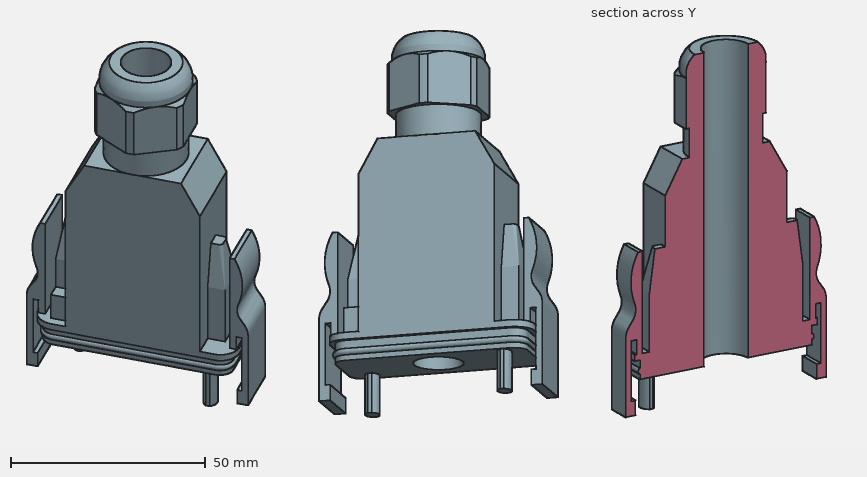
import cadquery as cq
import math

PLUG_BOTTOM = 10.5
BEAD_MIDDLE = 12.8
FLANGE_BOTTOM = 15.8
FLANGE_TOP = 17.6
BODY_SLOPE_BOTTOM = 59.5
BODY_TOP = 68.5
NUT_BOTTOM = 76.4
NUT_CORNER_TOP = 89.4
NUT_TOP = 90.4
DOME_BOTTOM = 92.3
TOTAL_HEIGHT = 96.4

BODY_LENGTH = 36.4
BODY_TOP_LENGTH = 26.2
BODY_WIDTH = 21.8
FLANGE_LENGTH = 54.6
FLANGE_CORNER_RADIUS = 5.1
PLUG_LENGTH = 51.5
PLUG_WIDTH = 19.5
PLUG_CORNER_RADIUS = 3.7

BEAD_DIAMETER = 1.8
BEAD_PROTRUSION = 0.6

NECK_DIAMETER = 22.0
NUT_FLATS = 24.0
NUT_CORNER_DIAMETER = 26.5
DOME_TOP_DIAMETER = 18.9
DOME_ARC_RADIUS = 6.3
BORE_DIAMETER = 13.0

GUIDE_REACH = 22.9
GUIDE_WIDTH = 9.1
GUIDE_TAPER_BOTTOM = 33.5
GUIDE_TOP = 45.5
GUIDE_TOP_REACH = 21.3
GUIDE_TOP_WIDTH = 4.0
GUIDE_TOP_CORNER_RADIUS = 1.1
GUIDE_EDGE_RADIUS = 0.02
BLOCK_SIDE = 8.4
BLOCK_TOP = 24.9

CLIP_WIDTH = 14.1
CLIP_OUTER = 30.0
CLIP_INNER = 25.0
CLIP_ARM_INNER = 28.2
CLIP_LEG_OUTER = 26.8
HOOK_INNER = 27.0
CLIP_BOTTOM = 1.0
HOOK_TOP = 5.1
CLIP_SLOT_TOP = 21.5

GRIP_TOP_OUTER = 26.3
GRIP_BULGE = (28.4, 38.2)
GRIP_BULGE_END = (27.4, 31.7)
GRIP_NECK = (27.1, 29.1)
GRIP_NECK_END = (28.2, 26.7)
SHOULDER_START = (28.8, 25.8)
SHOULDER_MIDDLE = (29.7, 24.3)
SHOULDER_END_HEIGHT = 22.6

PIN_X = 19.8
PIN_Y = 6.7
PIN_WIDTH = 3.8
PIN_DEPTH = 4.8
PIN_SIDE_RADIUS = 2.8


def rounded_slab(length, width, radius, bottom, top):
    slab = cq.Workplane("XY").workplane(offset=bottom).rect(length, width).extrude(top - bottom)
    return slab.edges("|Z").fillet(radius)


def make_body():
    half, half_top = BODY_LENGTH / 2, BODY_TOP_LENGTH / 2
    outline = [
        (-half, FLANGE_BOTTOM),
        (half, FLANGE_BOTTOM),
        (half, BODY_SLOPE_BOTTOM),
        (half_top, BODY_TOP),
        (-half_top, BODY_TOP),
        (-half, BODY_SLOPE_BOTTOM),
    ]
    hood = cq.Workplane("XZ").polyline(outline).close().extrude(BODY_WIDTH / 2, both=True)
    flange = rounded_slab(FLANGE_LENGTH, BODY_WIDTH, FLANGE_CORNER_RADIUS, FLANGE_BOTTOM, FLANGE_TOP)
    plug = rounded_slab(PLUG_LENGTH, PLUG_WIDTH, PLUG_CORNER_RADIUS, PLUG_BOTTOM, FLANGE_BOTTOM)
    return hood.union(flange).union(plug)


def make_bead():
    """Round cord that runs around the plug, partly sunk into its wall."""
    inset = BEAD_DIAMETER / 2 - BEAD_PROTRUSION
    x = PLUG_LENGTH / 2 - inset
    y = PLUG_WIDTH / 2 - inset
    radius = PLUG_CORNER_RADIUS - inset
    diagonal = radius * (1 - math.sqrt(0.5))
    path = (
        cq.Workplane("XY", origin=(0, 0, BEAD_MIDDLE))
        .moveTo(0, -y)
        .lineTo(x - radius, -y)
        .threePointArc((x - diagonal, -y + diagonal), (x, -y + radius))
        .lineTo(x, y - radius)
        .threePointArc((x - diagonal, y - diagonal), (x - radius, y))
        .lineTo(-x + radius, y)
        .threePointArc((-x + diagonal, y - diagonal), (-x, y - radius))
        .lineTo(-x, -y + radius)
        .threePointArc((-x + diagonal, -y + diagonal), (-x + radius, -y))
        .close()
    )
    section = cq.Workplane("YZ", origin=(0, -y, BEAD_MIDDLE)).circle(BEAD_DIAMETER / 2)
    return section.sweep(path)


def make_gland():
    """Neck, hexagonal nut and domed cap of the cable gland."""
    neck = cq.Workplane("XY").workplane(offset=BODY_TOP).circle(NECK_DIAMETER / 2)
    neck = neck.extrude(NUT_BOTTOM - BODY_TOP)

    hexagon_diameter = NUT_FLATS / math.cos(math.pi / 6)
    hexagon = (
        cq.Workplane("XY")
        .workplane(offset=NUT_BOTTOM)
        .transformed(rotate=(0, 0, 30))
        .polygon(6, hexagon_diameter)
        .extrude(NUT_TOP - NUT_BOTTOM)
    )
    corner_limit = (
        cq.Workplane("XZ")
        .moveTo(0, NUT_BOTTOM)
        .lineTo(NUT_CORNER_DIAMETER / 2, NUT_BOTTOM)
        .lineTo(NUT_CORNER_DIAMETER / 2, NUT_CORNER_TOP)
        .lineTo(NUT_FLATS / 2, NUT_TOP)
        .lineTo(0, NUT_TOP)
        .close()
        .revolve(360, (0, 0, 0), (0, 1, 0))
    )
    nut = hexagon.intersect(corner_limit)

    dome = (
        cq.Workplane("XZ")
        .moveTo(0, NUT_TOP)
        .lineTo(NUT_FLATS / 2, NUT_TOP)
        .lineTo(NUT_FLATS / 2, DOME_BOTTOM)
        .radiusArc((DOME_TOP_DIAMETER / 2, TOTAL_HEIGHT), -DOME_ARC_RADIUS)
        .lineTo(0, TOTAL_HEIGHT)
        .close()
        .revolve(360, (0, 0, 0), (0, 1, 0))
    )
    return neck.union(nut).union(dome)


def guide_outline(workplane, reach, width, radius):
    """Rectangle from the body to the given reach, with both outer corners rounded."""
    half = width / 2
    inner = BODY_LENGTH / 2
    diagonal = radius * (1 - math.sqrt(0.5))
    return (
        workplane.moveTo(inner, -half)
        .lineTo(reach - radius, -half)
        .threePointArc((reach - diagonal, -half + diagonal), (reach, -half + radius))
        .lineTo(reach, half - radius)
        .threePointArc((reach - diagonal, half - diagonal), (reach - radius, half))
        .lineTo(inner, half)
        .close()
    )


def make_guide():
    """Tapered guide rib and its side block on the +X end of the hood."""
    inner = BODY_LENGTH / 2
    reach = GUIDE_REACH - inner
    half = GUIDE_WIDTH / 2
    rib_height = GUIDE_TAPER_BOTTOM - FLANGE_TOP
    rib = cq.Workplane("XY").box(reach, GUIDE_WIDTH, rib_height, centered=(False, True, False))
    block = cq.Workplane("XY").box(reach, BLOCK_SIDE - half, BLOCK_TOP - FLANGE_TOP, centered=False)
    taper = cq.Workplane("XY").workplane(offset=GUIDE_TAPER_BOTTOM)
    taper = guide_outline(taper, GUIDE_REACH, GUIDE_WIDTH, GUIDE_EDGE_RADIUS)
    taper = taper.workplane(offset=GUIDE_TOP - GUIDE_TAPER_BOTTOM)
    taper = guide_outline(taper, GUIDE_TOP_REACH, GUIDE_TOP_WIDTH, GUIDE_TOP_CORNER_RADIUS)
    taper = taper.loft(ruled=True)
    rib = rib.translate((inner, 0, FLANGE_TOP))
    return rib.union(block.translate((inner, half, FLANGE_TOP))).union(taper)


def make_clip():
    """Locking clip on the +X end: thumb grip above, hooked spring arm below."""
    profile = (
        cq.Workplane("XZ")
        .moveTo(CLIP_INNER, FLANGE_TOP)
        .lineTo(CLIP_INNER, GUIDE_TOP)
        .lineTo(GRIP_TOP_OUTER, GUIDE_TOP)
        .threePointArc(GRIP_BULGE, GRIP_BULGE_END)
        .threePointArc(GRIP_NECK, GRIP_NECK_END)
        .lineTo(*SHOULDER_START)
        .threePointArc(SHOULDER_MIDDLE, (CLIP_OUTER, SHOULDER_END_HEIGHT))
        .lineTo(CLIP_OUTER, CLIP_BOTTOM)
        .lineTo(HOOK_INNER, CLIP_BOTTOM)
        .lineTo(HOOK_INNER, HOOK_TOP)
        .lineTo(CLIP_ARM_INNER, HOOK_TOP)
        .lineTo(CLIP_ARM_INNER, CLIP_SLOT_TOP)
        .lineTo(CLIP_LEG_OUTER, CLIP_SLOT_TOP)
        .lineTo(CLIP_LEG_OUTER, FLANGE_TOP)
        .close()
    )
    return profile.extrude(CLIP_WIDTH / 2, both=True)


def make_pin():
    """Coding pin under the +X end, with bulging sides and flat front and back."""
    half_width, half_depth = PIN_WIDTH / 2, PIN_DEPTH / 2
    side_rise = PIN_SIDE_RADIUS - math.sqrt(PIN_SIDE_RADIUS**2 - half_depth**2)
    half_flat = half_width - side_rise
    return (
        cq.Workplane("XY", origin=(PIN_X, -PIN_Y, 0))
        .moveTo(-half_flat, -half_depth)
        .lineTo(half_flat, -half_depth)
        .threePointArc((half_width, 0), (half_flat, half_depth))
        .lineTo(-half_flat, half_depth)
        .threePointArc((-half_width, 0), (-half_flat, -half_depth))
        .close()
        .extrude(PLUG_BOTTOM)
    )


end_parts = [make_guide(), make_clip(), make_pin()]
bore = cq.Workplane("XY").circle(BORE_DIAMETER / 2).extrude(TOTAL_HEIGHT)

result = make_body().union(make_bead()).union(make_gland())
for part in end_parts:
    result = result.union(part).union(part.rotate((0, 0, 0), (0, 0, 1), 180))
result = result.cut(bore)